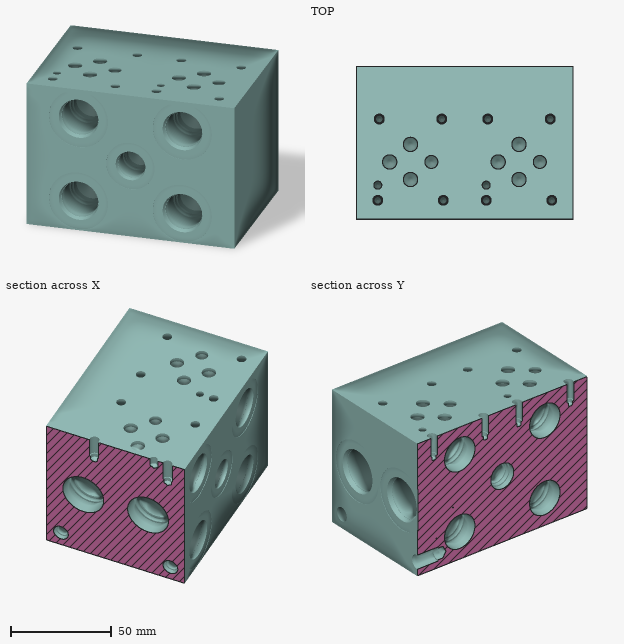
import cadquery as cq
import math

LENGTH = 108.0
DEPTH = 76.2
HEIGHT = 76.2
CUT_START = 1.1
TIP_ANGLE = 118.0
TIP_SLOPE = math.tan(math.radians(TIP_ANGLE / 2))

DRILLING_PLANES = {
    "+X": ((0, 1, 0), (0, 0, -1)),
    "+Y": ((1, 0, 0), (0, 0, 1)),
    "-Z": ((1, 0, 0), (0, 1, 0)),
}

SPOTFACE_DEPTH = 0.2
SIDE_PORT = {
    "spotface": 34.1, "seat": 23.9, "seat_end": 22.6, "thread": 22.2, "bore": 20.4, "drill": 17.5,
    "seat_depth": 2.8, "thread_depth": 18.4, "bore_depth": 20.5, "drill_depth": 24.8,
}
WORK_PORT = {
    "spotface": 30.7, "seat": 20.6, "seat_end": 19.2, "thread": 19.0, "bore": 17.5, "drill": 15.9,
    "seat_depth": 2.8, "thread_depth": 16.2, "bore_depth": 18.4, "drill_depth": 22.7,
}
GAUGE_PORT = {
    "spotface": 25.0, "seat": 15.4, "seat_end": 14.5, "thread": 14.2, "bore": 13.0, "drill": 12.1,
    "seat_depth": 2.6, "thread_depth": 10.8, "bore_depth": 13.0, "drill_depth": 16.2,
}
WORK_PORT_X_OFFSET = LENGTH / 4
WORK_PORT_Z_OFFSET = 22.2
SIDE_PORT_Y_OFFSET = 17.8

MOUNT_INSET = 8.0
MOUNT_THREAD = 7.9
MOUNT_DRILL = 6.5
MOUNT_THREAD_DEPTH = 13.0
MOUNT_DRILL_DEPTH = 16.2

STATION_PITCH = LENGTH / 2
STATION_X = LENGTH / 4
STATION_Y = 28.6
PASSAGE = 7.1
SMALL_PASSAGE = 6.5
PASSAGE_DEPTH = 2.2
PASSAGE_X_OFFSET = 10.4
PASSAGE_Y_OFFSET = 8.7
SCREW_THREAD = 4.9
SCREW_DRILL = 3.8
SCREW_THREAD_DEPTH = 10.8
SCREW_DRILL_DEPTH = 13.0
REAR_SCREW_X_OFFSET = 15.5
REAR_SCREW_Y = 50.0
FRONT_SCREW_X_OFFSET = 16.3
FRONT_SCREW_Y = 9.5
PIN = 4.0
PIN_DEPTH = 4.3
PIN_Y = 17.1


def hole_cutter(sections, position, direction):
    """Round cutter from (diameter, depth) corners, listed from the face inwards, with a drill tip."""
    radius_at_face = sections[0][0] / 2
    last_diameter, last_depth = sections[-1]
    tip_depth = last_depth + last_diameter / 2 / TIP_SLOPE
    profile = [(0, -CUT_START), (radius_at_face, -CUT_START)]
    profile += [(diameter / 2, depth) for diameter, depth in sections]
    profile += [(0, tip_depth)]
    x_direction, normal = DRILLING_PLANES[direction]
    plane = cq.Plane(origin=position, xDir=x_direction, normal=normal)
    return cq.Workplane(plane).polyline(profile).close().revolve(360, (0, 0), (0, 1))


def port_cutter(port, position, direction):
    sections = [
        (port["spotface"], SPOTFACE_DEPTH),
        (port["seat"], SPOTFACE_DEPTH),
        (port["seat_end"], port["seat_depth"]),
        (port["thread"], port["seat_depth"]),
        (port["thread"], port["thread_depth"]),
        (port["bore"], port["thread_depth"]),
        (port["bore"], port["bore_depth"]),
        (port["drill"], port["bore_depth"]),
        (port["drill"], port["drill_depth"]),
    ]
    return hole_cutter(sections, position, direction)


def tapped_cutter(thread, drill, thread_depth, drill_depth, position, direction):
    sections = [(thread, thread_depth), (drill, thread_depth), (drill, drill_depth)]
    return hole_cutter(sections, position, direction)


def front_cutters():
    cutters = [port_cutter(GAUGE_PORT, (LENGTH / 2, 0, HEIGHT / 2), "+Y")]
    for x_side in (-1, 1):
        for z_side in (-1, 1):
            x = LENGTH / 2 + x_side * WORK_PORT_X_OFFSET
            z = HEIGHT / 2 + z_side * WORK_PORT_Z_OFFSET
            cutters.append(port_cutter(WORK_PORT, (x, 0, z), "+Y"))
    return cutters


def side_cutters():
    cutters = []
    for side in (-1, 1):
        port_y = DEPTH / 2 + side * SIDE_PORT_Y_OFFSET
        cutters.append(port_cutter(SIDE_PORT, (0, port_y, HEIGHT / 2), "+X"))
        mount_y = DEPTH / 2 + side * (DEPTH / 2 - MOUNT_INSET)
        cutters.append(tapped_cutter(
            MOUNT_THREAD, MOUNT_DRILL, MOUNT_THREAD_DEPTH, MOUNT_DRILL_DEPTH, (0, mount_y, MOUNT_INSET), "+X"
        ))
    return cutters


def station_cutters(center_x):
    passages = [
        (PASSAGE, -PASSAGE_X_OFFSET, 0),
        (SMALL_PASSAGE, PASSAGE_X_OFFSET, 0),
        (PASSAGE, 0, -PASSAGE_Y_OFFSET),
        (PASSAGE, 0, PASSAGE_Y_OFFSET),
    ]
    cutters = []
    for diameter, dx, dy in passages:
        position = (center_x + dx, STATION_Y + dy, HEIGHT)
        cutters.append(hole_cutter([(diameter, PASSAGE_DEPTH)], position, "-Z"))
    for side in (-1, 1):
        for offset, y in ((REAR_SCREW_X_OFFSET, REAR_SCREW_Y), (FRONT_SCREW_X_OFFSET, FRONT_SCREW_Y)):
            position = (center_x + side * offset, y, HEIGHT)
            cutters.append(tapped_cutter(
                SCREW_THREAD, SCREW_DRILL, SCREW_THREAD_DEPTH, SCREW_DRILL_DEPTH, position, "-Z"
            ))
    pin_position = (center_x - FRONT_SCREW_X_OFFSET, PIN_Y, HEIGHT)
    cutters.append(hole_cutter([(PIN, PIN_DEPTH)], pin_position, "-Z"))
    return cutters


block = cq.Workplane("XY").box(LENGTH, DEPTH, HEIGHT, centered=False)
cutters = front_cutters() + side_cutters()
for station in range(2):
    cutters += station_cutters(STATION_X + station * STATION_PITCH)
for cutter in cutters:
    block = block.cut(cutter)

result = block.solids()